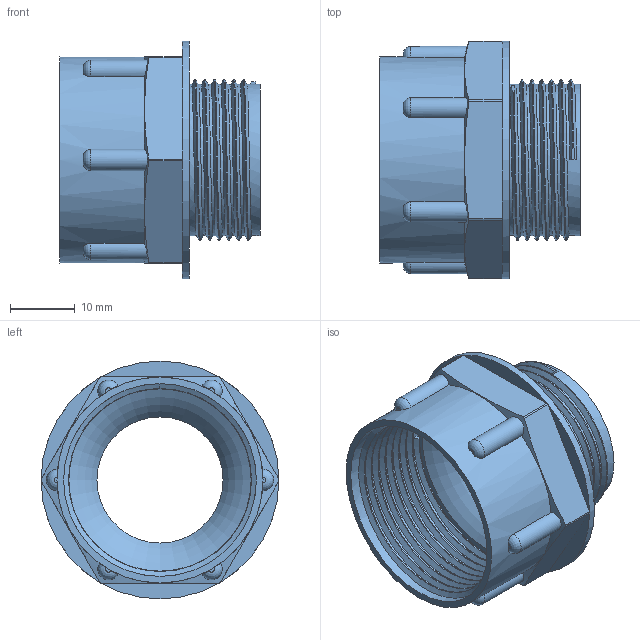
import cadquery as cq
import math


HEX_START = 13.1
FLANGE_START = 18.95
FLANGE_END = 20.05
TOTAL_LENGTH = 31.0

BARREL_DIAMETER = 31.87
FLANGE_DIAMETER = 36.8
HEX_SIDES = 6
HEX_ACROSS_FLATS = 32.0
HEX_CHAMFER_ANGLE = 15.0

PIN_DIAMETER = 3.3
PIN_START = 3.6
PIN_TIP_ROUND = 1.2

THREAD_PITCH = 1.5
THREAD_HEIGHT = 0.76
THREAD_BASE_WIDTH = 1.06
THREAD_CREST_WIDTH = 0.15
THREAD_SINK = 0.1

SPIGOT_DIAMETER = 23.4
MALE_START_ANGLE = 19.0
MALE_END_ANGLE = 6 * 360.0 + 90.0
MALE_SWEEP = MALE_END_ANGLE - MALE_START_ANGLE
MALE_START_GAP = 0.05
MALE_START_X = FLANGE_END + MALE_START_GAP + THREAD_BASE_WIDTH / 2
END_CREST_HEIGHT = 0.41
END_FLAT_LENGTH = 4.0

SOCKET_DIAMETER = 29.82
SOCKET_DEPTH = 14.8
FEMALE_START_ANGLE = 90.0
FEMALE_TURNS = 8.75
FEMALE_START_X = 1.15

FUNNEL_DIAMETER = 28.2
BORE_DIAMETER = 19.5
FUNNEL_MIDDLE_X = 16.25
FUNNEL_MIDDLE_RADIUS = 11.9
FUNNEL_END_X = 18.7


def cylinder(diameter, start, end):
    """Cylinder on the X axis between two positions."""
    return cq.Workplane("YZ", origin=(start, 0, 0)).circle(diameter / 2).extrude(end - start)


def make_hexagon():
    """Hexagon with corners on the Y axis, its corners turned round and its free end chamfered."""
    length = FLANGE_START - HEX_START
    corner_diameter = HEX_ACROSS_FLATS / math.cos(math.pi / HEX_SIDES)
    prism = cq.Workplane("YZ", origin=(HEX_START, 0, 0)).polygon(HEX_SIDES, corner_diameter).extrude(length)

    barrel_radius = BARREL_DIAMETER / 2
    rim_radius = FLANGE_DIAMETER / 2
    chamfer_depth = (rim_radius - barrel_radius) * math.tan(math.radians(HEX_CHAMFER_ANGLE))
    envelope = (
        cq.Workplane("XY")
        .moveTo(HEX_START, 0)
        .lineTo(HEX_START, barrel_radius)
        .lineTo(HEX_START + chamfer_depth, rim_radius)
        .lineTo(FLANGE_START, rim_radius)
        .lineTo(FLANGE_START, 0)
        .close()
        .revolve(360, (0, 0, 0), (1, 0, 0))
    )
    return prism.intersect(envelope)


def make_pin(angle):
    """Round-tipped pin centred on the barrel surface, running into the hexagon."""
    pin = (
        cq.Workplane("YZ", origin=(PIN_START, BARREL_DIAMETER / 2, 0))
        .circle(PIN_DIAMETER / 2)
        .extrude(FLANGE_START - PIN_START)
        .faces("<X")
        .edges()
        .fillet(PIN_TIP_ROUND)
    )
    return pin.rotate((0, 0, 0), (1, 0, 0), angle)


def make_thread(root_radius, outward, start_x, start_angle, sweep):
    """Right-handed ridge on a cylinder; outward is +1 for a male and -1 for a female thread."""
    path = cq.Wire.makeHelix(
        THREAD_PITCH,
        THREAD_PITCH * sweep / 360,
        root_radius,
        center=cq.Vector(start_x, 0, 0),
        dir=cq.Vector(1, 0, 0),
    )
    start = path.startPoint()
    path_angle = math.degrees(math.atan2(start.z, start.y))

    sunk = root_radius - outward * THREAD_SINK
    crest = root_radius + outward * THREAD_HEIGHT
    half_base = THREAD_BASE_WIDTH / 2
    half_crest = THREAD_CREST_WIDTH / 2
    half_foot = half_base + (half_base - half_crest) * THREAD_SINK / THREAD_HEIGHT
    section_plane = cq.Plane(
        origin=(start_x, 0, 0),
        xDir=(1, 0, 0),
        normal=(0, -start.z / root_radius, start.y / root_radius),
    )
    ridge = (
        cq.Workplane(section_plane)
        .polyline(
            [
                (-half_foot, sunk),
                (-half_crest, crest),
                (half_crest, crest),
                (half_foot, sunk),
            ]
        )
        .close()
        .sweep(cq.Workplane(path), isFrenet=True)
    )
    return ridge.rotate((0, 0, 0), (1, 0, 0), start_angle - path_angle)


def make_end_flat(center_x, angle):
    """Block that takes the crest down to a flat at one end of the male thread."""
    flat_radius = SPIGOT_DIAMETER / 2 + END_CREST_HEIGHT
    block = (
        cq.Workplane("XY", origin=(center_x, 0, flat_radius))
        .rect(THREAD_BASE_WIDTH, 2 * END_FLAT_LENGTH)
        .extrude(THREAD_HEIGHT)
    )
    return block.rotate((0, 0, 0), (1, 0, 0), angle - 90)


def make_male_thread():
    """Ridge on the spigot with a flattened crest at both ends."""
    ridge = make_thread(SPIGOT_DIAMETER / 2, 1, MALE_START_X, MALE_START_ANGLE, MALE_SWEEP)
    end_x = MALE_START_X + THREAD_PITCH * MALE_SWEEP / 360
    ridge = ridge.cut(make_end_flat(MALE_START_X, MALE_START_ANGLE))
    return ridge.cut(make_end_flat(end_x, MALE_END_ANGLE))


def make_female_thread():
    """Ridge winding through the socket down to its floor."""
    sweep = FEMALE_TURNS * 360
    return make_thread(SOCKET_DIAMETER / 2, -1, FEMALE_START_X, FEMALE_START_ANGLE, sweep)


def make_passage():
    """Socket, curved funnel and through bore as one turned solid."""
    socket_radius = SOCKET_DIAMETER / 2
    funnel_radius = FUNNEL_DIAMETER / 2
    bore_radius = BORE_DIAMETER / 2
    return (
        cq.Workplane("XY")
        .lineTo(0, socket_radius)
        .lineTo(SOCKET_DEPTH, socket_radius)
        .lineTo(SOCKET_DEPTH, funnel_radius)
        .threePointArc((FUNNEL_MIDDLE_X, FUNNEL_MIDDLE_RADIUS), (FUNNEL_END_X, bore_radius))
        .lineTo(TOTAL_LENGTH, bore_radius)
        .lineTo(TOTAL_LENGTH, 0)
        .close()
        .revolve(360, (0, 0, 0), (1, 0, 0))
    )


body = cylinder(BARREL_DIAMETER, 0, HEX_START)
body = body.union(make_hexagon())
body = body.union(cylinder(FLANGE_DIAMETER, FLANGE_START, FLANGE_END))
body = body.union(cylinder(SPIGOT_DIAMETER, FLANGE_END, TOTAL_LENGTH))
for pin_index in range(HEX_SIDES):
    body = body.union(make_pin(pin_index * 360 / HEX_SIDES))

body = body.cut(make_passage())
body = body.union(make_male_thread())
body = body.union(make_female_thread())

result = body